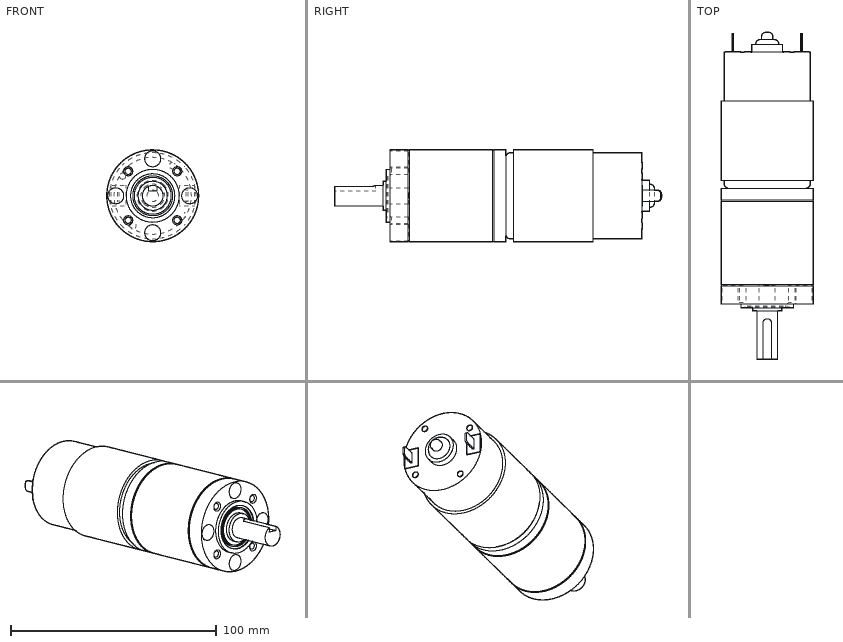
import cadquery as cq
import math


body_diameter = 45.0
gearbox_length = 56.5
front_cap_length = 9.1
rear_cap_seam = 50.5
seam_width = 0.6
seam_depth = 0.2

pilot_diameter = 25.9
pilot_height = 1.9
bearing_diameter = 21.5
bearing_recess = 0.5
shield_groove_outer_diameter = 19.5
shield_groove_inner_diameter = 18.0
shield_groove_depth = 1.0
inner_race_diameter = 14.2
inner_race_height = 3.4

shaft_diameter = 10.0
shaft_length = 27.0
key_width = 4.3
key_length = 19.8
key_floor_height = 2.4

plain_hole_diameter = 7.8
plain_hole_circle = 36.0
screw_hole_diameter = 3.0
screw_countersink_diameter = 4.5
screw_hole_circle = 33.8
screw_hole_angle = 45
countersink_angle = 45
mounting_hole_depth = front_cap_length
hole_count = 4

overall_length = 159.5
can_diameter = 42.1
can_front_fillet = 2.2
sleeve_start = 60.2
sleeve_end = 99.1
can_end = 122.9
rear_boss_diameter = 15.2
rear_boss_end = 126.7
collar_diameter = 11.5
collar_end = 129.1
collar_fillet = collar_end - rear_boss_end
rear_stub_diameter = 5.6
rear_stub_fillet = 2.0
rear_stub_end = overall_length - shaft_length

terminal_offset = 16.8
terminal_thickness = 0.8
terminal_width = 5.5
terminal_length = 9.1
terminal_corner_radius = 1.8
pad_width = 7.3
pad_height = 9.9
rear_relief = 0.4
bump_diameter = 3.0
bump_x = 9.5
bump_z = 14.7
bump_count = 4

overlap = 0.8


def cylinder(diameter, y_start, y_end):
    """Solid cylinder on the Y axis between two stations."""
    plane = cq.Workplane("XZ", origin=(0, y_start, 0))
    return plane.circle(diameter / 2).extrude(y_start - y_end)


def ring(outer_diameter, inner_diameter, y_start, y_end):
    """Hollow cylinder on the Y axis between two stations."""
    return cylinder(outer_diameter, y_start, y_end).cut(cylinder(inner_diameter, y_start, y_end))


def make_gearbox():
    """Plain gearbox cylinder with a shallow seam groove at each end cap."""
    gearbox = cylinder(body_diameter, 0, gearbox_length)
    for seam in (front_cap_length, rear_cap_seam):
        groove = ring(
            body_diameter + overlap,
            body_diameter - 2 * seam_depth,
            seam - seam_width / 2,
            seam + seam_width / 2,
        )
        gearbox = gearbox.cut(groove)
    return gearbox


def make_pilot():
    """Pilot boss with a recessed bearing, its shield groove and the raised inner race."""
    pilot = cylinder(pilot_diameter, -pilot_height, overlap)
    pilot = pilot.cut(cylinder(bearing_diameter, -pilot_height, bearing_recess - pilot_height))
    shield_groove = ring(
        shield_groove_outer_diameter,
        shield_groove_inner_diameter,
        -pilot_height,
        shield_groove_depth - pilot_height,
    )
    return pilot.cut(shield_groove).union(cylinder(inner_race_diameter, -inner_race_height, overlap))


def make_shaft():
    """Output shaft with an open-ended keyway on its +Z side."""
    shaft = cylinder(shaft_diameter, -shaft_length, overlap)
    key_radius = key_width / 2
    arc_center = key_length - shaft_length - key_radius
    keyway = (
        cq.Workplane("XY", origin=(0, 0, key_floor_height))
        .moveTo(-key_radius, -shaft_length)
        .lineTo(-key_radius, arc_center)
        .threePointArc((0, arc_center + key_radius), (key_radius, arc_center))
        .lineTo(key_radius, -shaft_length)
        .close()
        .extrude(shaft_diameter / 2)
    )
    return shaft.cut(keyway)


def make_mounting_holes():
    """Four plain holes on the X and Z axes and four countersunk screw holes between them."""
    face = cq.Workplane("XZ")
    plain_holes = (
        face.polarArray(plain_hole_circle / 2, 0, 360, hole_count)
        .circle(plain_hole_diameter / 2)
        .extrude(-mounting_hole_depth)
    )
    screw_holes = (
        face.polarArray(screw_hole_circle / 2, screw_hole_angle, 360, hole_count)
        .circle(screw_hole_diameter / 2)
        .extrude(-mounting_hole_depth)
    )
    countersink_depth = (screw_countersink_diameter - screw_hole_diameter) / 2
    countersinks = (
        face.polarArray(screw_hole_circle / 2, screw_hole_angle, 360, hole_count)
        .circle(screw_countersink_diameter / 2)
        .extrude(-countersink_depth, taper=countersink_angle)
    )
    return plain_holes.union(screw_holes).union(countersinks)


def make_motor():
    """Motor can with a rounded front edge, its outer sleeve, and the stepped rear boss and stub."""
    can = cylinder(can_diameter, gearbox_length, can_end).faces("<Y").edges().fillet(can_front_fillet)
    sleeve = cylinder(body_diameter, sleeve_start, sleeve_end)
    rear_boss = cylinder(rear_boss_diameter, can_end - overlap, rear_boss_end)
    collar = cylinder(collar_diameter, can_end, collar_end).faces(">Y").edges().fillet(collar_fillet)
    stub = cylinder(rear_stub_diameter, can_end, rear_stub_end).faces(">Y").edges().fillet(rear_stub_fillet)
    return can.union(sleeve).union(rear_boss).union(collar).union(stub)


def make_terminal(x):
    """Flat tab with rounded tip corners standing on a low pad."""
    tab = (
        cq.Workplane("XY", origin=(x, can_end - overlap, 0))
        .box(terminal_thickness, terminal_length + overlap, terminal_width, centered=(True, False, True))
        .edges("|X and >Y")
        .fillet(terminal_corner_radius)
    )
    pad = cq.Workplane("XY", origin=(x, can_end - overlap, 0)).box(
        pad_width, rear_relief + overlap, pad_height, centered=(True, False, True)
    )
    return tab.union(pad)


def make_crimp_bumps():
    """Four low round bumps near the rim of the rear face, a quarter turn apart."""
    return (
        cq.Workplane("XZ", origin=(0, can_end - overlap, 0))
        .polarArray(math.hypot(bump_x, bump_z), math.degrees(math.atan2(bump_z, bump_x)), 360, bump_count)
        .circle(bump_diameter / 2)
        .extrude(-(rear_relief + overlap))
    )


result = make_gearbox().union(make_pilot()).union(make_shaft()).union(make_motor())
result = result.cut(make_mounting_holes())
for side in (-1, 1):
    result = result.union(make_terminal(side * terminal_offset))
result = result.union(make_crimp_bumps())